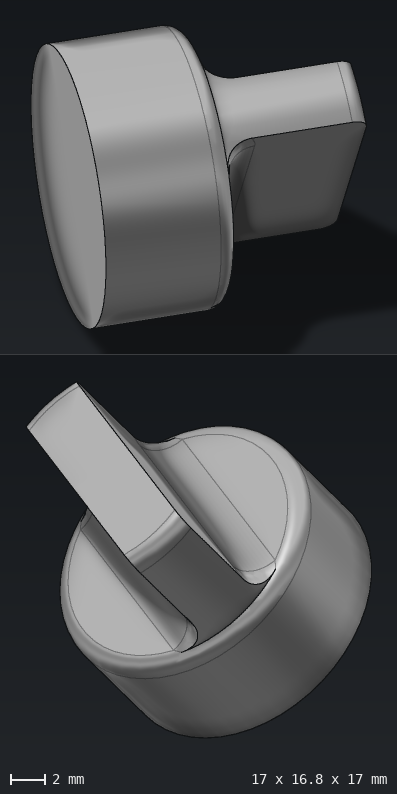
import cadquery as cq

base_diameter = 17.0
base_depth = 8.0
total_depth = 16.8
edge_round = 1.0
grip_end_radius = 7.8
grip_thickness = 4.0
grip_angle = 60.0
root_fillet = 2.0


def along_y(start, depth):
    """Plane across the knob axis at Y = start whose extrusions run toward +Y."""
    return cq.Workplane("XZ", origin=(0, start, 0)), -depth


def make_base():
    plane, distance = along_y(0, base_depth)
    base = plane.circle(base_diameter / 2).extrude(distance)
    return base.faces(">Y").edges().fillet(edge_round)


def make_grip():
    start = base_depth - edge_round
    plane, distance = along_y(start, total_depth - start)
    cylinder = plane.circle(grip_end_radius).extrude(distance)
    slab = plane.rect(2 * grip_end_radius, grip_thickness).extrude(distance)
    grip = cylinder.intersect(slab)
    grip = grip.faces(">Y").edges("%CIRCLE").fillet(edge_round)
    return grip.rotate((0, 0, 0), (0, 1, 0), -grip_angle)


def root_edges(body):
    """Straight edges where the grip sides meet the top of the base."""
    margin = 0.02
    reach = base_diameter
    picker = cq.selectors.BoxSelector(
        (-reach, base_depth - margin, -reach), (reach, base_depth + margin, reach)
    )
    return body.edges("%LINE").edges(picker)


knob = make_base().union(make_grip())
result = root_edges(knob).fillet(root_fillet)